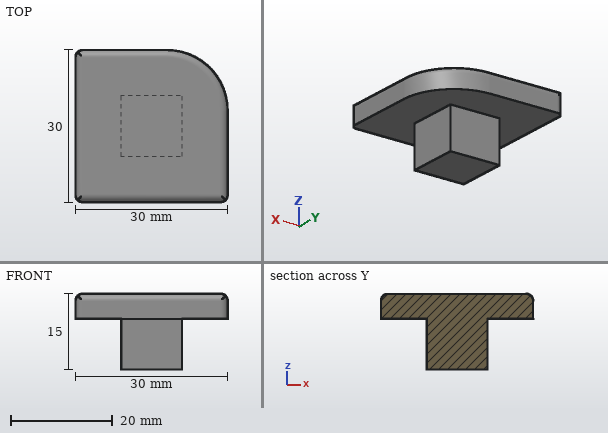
import cadquery as cq

plate_side = 30.0
total_height = 15.0
stem_side = 12.0
stem_height = 10.0
large_corner_radius = 12.0
edge_radius = 1.5

plate_height = total_height - stem_height


def make_plate_blank():
    """Square plate standing on Z = 0, with one large round corner at +X +Y."""
    blank = cq.Workplane("XY").rect(plate_side, plate_side).extrude(plate_height)
    return blank.edges("|Z").edges(">(1, 1, 0)").fillet(large_corner_radius)


def make_plate():
    """Plate with rounded top and side edges that meet in mitres at the corners."""
    top_rounded = make_plate_blank().faces(">Z").edges().fillet(edge_radius)
    corner_rounded = cq.Workplane("XY").rect(plate_side, plate_side).extrude(plate_height)
    corner_rounded = corner_rounded.edges("|Z").fillet(edge_radius)
    return top_rounded.intersect(corner_rounded)


def make_stem():
    """Square post below the centre of the plate."""
    return cq.Workplane("XY").rect(stem_side, stem_side).extrude(-stem_height)


result = make_plate().union(make_stem())